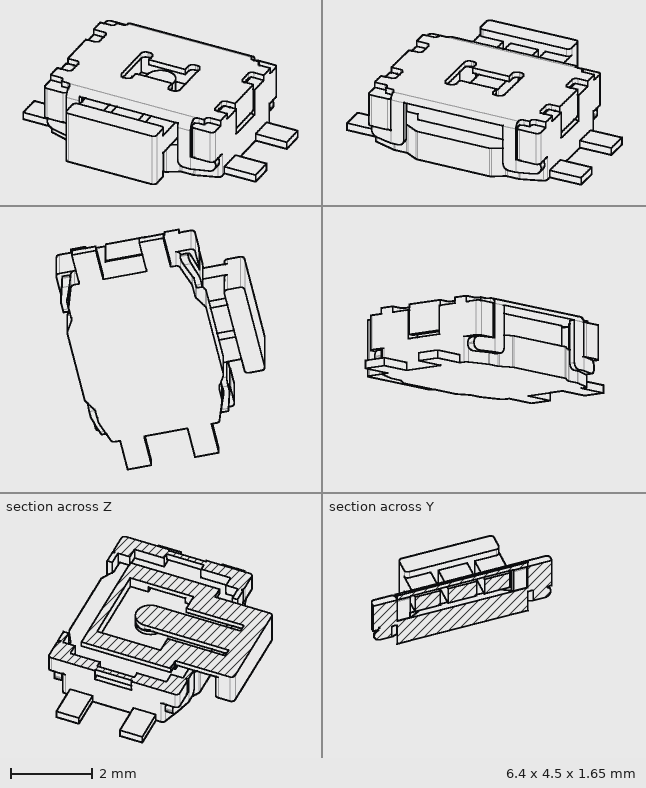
import cadquery as cq


overall_x = 6.4
overall_y = 4.5
height = 1.65
body_x = 4.685
body_y = 3.495
edge_radius = 0.095
sheet = 0.15

half_x = body_x / 2
half_y = body_y / 2
cover_bottom = height - sheet

floor_z = 0.79
overhang_z = 0.64
post_inner_x = 1.71
post_depth = 0.47
wall_thickness = 0.345
side_taper_y = 1.35
nose_root_x = 1.35
nose_tip_x = 1.01
tab_gap = 0.045
tab_inner_y = half_y - sheet
step_y = tab_inner_y - tab_gap

lead_width = 0.6
lead_thickness = 0.2
lead_pitch = 1.695
lead_root_x = 1.92

front_bend_radius = 0.25
back_bend_radius = sheet
tab_inner_x = 1.36
tab_bottom = 0.29
tab_corner_radius = 0.16
foot_tip_x = 2.32
foot_tip_thickness = 0.2
foot_setback = 0.165
corner_cut_x = 1.965
corner_cut_wide_y = 1.36
corner_cut_narrow_y = 1.5
notch_depth = half_x - corner_cut_x
window_half_y = 0.49
notch_end_y = 0.99
side_tab_inset = 0.04
side_tab_bottom = 0.895

opening_bar_x = 1.0
opening_bar_y = 0.72
opening_leg_x = 0.65
opening_leg_width = 0.31
opening_leg_length = 1.305
opening_end_radius = 0.13

button_half_x = 1.24
button_thickness = 0.51
button_front_y = half_y - overall_y
button_bottom = 0.25
arm_bottom = 0.94
arm_top = 1.445
pin_radius = 0.38
outer_arm_inner_x = 0.575
outer_arm_end_y = -0.705
groove_depth = 0.03
slide_half_x = 1.535
frame_inner_x = 1.025
frame_inner_y = 0.98
frame_outer_y = 1.2
button_back_y = button_front_y + button_thickness
arm_front_y = button_back_y - button_thickness / 2


def block(x0, x1, y0, y1, z0, z1):
    """Axis-aligned block between two opposite corners."""
    return cq.Workplane("XY").box(x1 - x0, y1 - y0, z1 - z0, centered=False).translate((x0, y0, z0))


def four_way(quarter):
    """Union of a solid with its mirror images about the XZ and YZ planes."""
    half = quarter.union(quarter.mirror("YZ"))
    return half.union(half.mirror("XZ"))


def base_floor():
    quarter_outline = [
        (half_x, side_taper_y),
        (post_inner_x, step_y),
        (nose_root_x, step_y),
        (nose_tip_x, half_y),
    ]
    outline = quarter_outline + [(-x, y) for x, y in reversed(quarter_outline)]
    outline += [(-x, -y) for x, y in outline]
    return cq.Workplane("XY").polyline(outline).close().extrude(floor_z).edges("|Z").fillet(edge_radius)


def corner_post():
    post = block(post_inner_x, half_x, half_y - post_depth, half_y, overhang_z, cover_bottom)
    post = post.edges("|Z and >Y").fillet(edge_radius)
    wall = block(half_x - wall_thickness, half_x, window_half_y, half_y - post_depth, floor_z, cover_bottom)
    return post.union(wall)


def lead():
    y0 = (lead_pitch - lead_width) / 2
    return block(lead_root_x, overall_x / 2, y0, y0 + lead_width, 0, lead_thickness)


def bend(side, radius, x0, x1, z_min):
    """Rounded edge of the sheet along X, above z_min; side is +1 at the back, -1 at the front."""
    y_center = side * (half_y - radius)
    z_center = height - radius
    section = cq.Workplane("YZ").center(y_center, z_center).circle(radius)
    if radius > sheet:
        section = section.circle(radius - sheet)
    ring = section.extrude(x1 - x0).translate((x0, 0, 0))
    y0, y1 = sorted((y_center, side * half_y))
    return ring.intersect(block(x0, x1, y0, y1, max(z_min, z_center), height))


def cover_tab(side, bend_radius):
    """One end tab, at positive X, with its foot folded back along the tapered end of the base."""
    top = height - bend_radius
    upright = block(tab_inner_x, post_inner_x, tab_inner_y, half_y, overhang_z - tab_corner_radius, top)
    foot_face = block(tab_inner_x, foot_tip_x, 0, half_y, tab_bottom, overhang_z)
    foot_face = foot_face.edges("|Y").fillet(tab_corner_radius)
    foot_plan = [
        (tab_inner_x, half_y),
        (post_inner_x, half_y),
        (foot_tip_x, half_y - foot_setback),
        (foot_tip_x, half_y - foot_setback - foot_tip_thickness),
        (post_inner_x, tab_inner_y),
        (tab_inner_x, tab_inner_y),
    ]
    foot = cq.Workplane("XY").polyline(foot_plan).close().extrude(height).intersect(foot_face)
    tab = upright.union(foot)
    if side < 0:
        tab = tab.mirror("XZ")
    return tab.union(bend(side, bend_radius, tab_inner_x, post_inner_x, top))


def corner_cut():
    long_cut = block(corner_cut_x, half_x, corner_cut_wide_y, half_y, cover_bottom, height)
    long_cut = long_cut.edges("|Z and <X and <Y").fillet(edge_radius)
    short_cut = block(post_inner_x, half_x, corner_cut_narrow_y, half_y, cover_bottom, height)
    return long_cut.union(short_cut.edges("|Z and <X and <Y").fillet(edge_radius))


def side_notch():
    notch = block(half_x - notch_depth, half_x, window_half_y, notch_end_y, cover_bottom, height)
    return notch.edges("|Z and <X").fillet(edge_radius)


def side_tab():
    outer_x = half_x - side_tab_inset
    return block(outer_x - sheet, outer_x, -window_half_y, window_half_y, side_tab_bottom, height)


def opening():
    bar = cq.Workplane("XY").rect(opening_bar_x, opening_bar_y).extrude(height)
    leg = cq.Workplane("XY").center(opening_leg_x, 0).rect(opening_leg_width, opening_leg_length)
    leg = leg.extrude(height).edges("|Z").fillet(opening_end_radius)
    return bar.union(leg).union(leg.mirror("YZ"))


def cover():
    cover_ends = ((1, back_bend_radius), (-1, front_bend_radius))
    front_flat_y = half_y - front_bend_radius
    back_flat_y = half_y - back_bend_radius
    plate = block(-half_x, half_x, -front_flat_y, back_flat_y, cover_bottom, height)
    for side, radius in cover_ends:
        plate = plate.union(bend(side, radius, -half_x, half_x, cover_bottom))
    plate = plate.cut(four_way(corner_cut())).cut(four_way(side_notch()))
    tab_slot = block(half_x - side_tab_inset, half_x, -window_half_y, window_half_y, cover_bottom, height)
    plate = plate.cut(tab_slot).cut(tab_slot.mirror("YZ"))
    for side, radius in cover_ends:
        tab = cover_tab(side, radius)
        plate = plate.union(tab).union(tab.mirror("YZ"))
    plate = plate.union(side_tab()).union(side_tab().mirror("YZ"))
    return plate.cut(opening())


def button_pad():
    pad = block(-button_half_x, button_half_x, button_front_y, button_back_y, button_bottom, height)
    return pad.edges("|Z").fillet(edge_radius)


def outer_arm():
    """Outer arm with the slide frame it runs into, at positive X."""
    arm = block(outer_arm_inner_x, button_half_x, arm_front_y, outer_arm_end_y, arm_bottom, arm_top)
    slide = block(frame_inner_x, slide_half_x, -frame_outer_y, frame_outer_y, arm_bottom, arm_top)
    return arm.union(slide)


def slide_frame():
    """Side and back walls that carry the slide on the base floor."""
    walls = block(-button_half_x, button_half_x, -frame_outer_y, frame_outer_y, floor_z, arm_top)
    walls = walls.cut(block(-frame_inner_x, frame_inner_x, -frame_outer_y, frame_inner_y, floor_z, arm_top))
    clearance = block(-button_half_x, button_half_x, -window_half_y, window_half_y, floor_z, arm_bottom)
    return walls.cut(clearance)


def pin():
    """Middle arm with a round end, standing on a waisted foot."""
    arm = block(-pin_radius, pin_radius, arm_front_y, 0, arm_bottom, arm_top)
    waist_z = (floor_z + side_tab_bottom) / 2
    profile = (
        cq.Workplane("XZ")
        .moveTo(0, floor_z)
        .lineTo(pin_radius, floor_z)
        .threePointArc((pin_radius - groove_depth, waist_z), (pin_radius, side_tab_bottom))
        .lineTo(pin_radius, arm_top)
        .lineTo(0, arm_top)
        .close()
    )
    round_end = profile.revolve(360, (0, 0), (0, 1))
    return arm.union(round_end)


def button():
    body = button_pad().union(pin()).union(slide_frame())
    return body.union(outer_arm()).union(outer_arm().mirror("YZ"))


base = base_floor().union(four_way(corner_post())).union(four_way(lead()))
result = base.union(cover()).union(button())